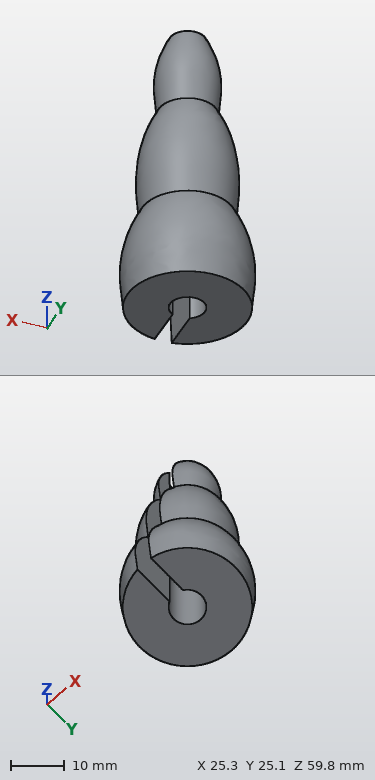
import math

import cadquery as cq

total_height = 59.82
bore_diameter = 7.0
slot_width = 3.4
foot_angle = 5.0
top_angle = 30.0

lower_joint_z = 20.1
upper_joint_z = 43.15

base_radius = 12.0
lower_joint_radius = 9.12
upper_joint_radius = 5.8
bore_radius = bore_diameter / 2
tip_radius = bore_radius

lower_belly = (12.625, 7.4)
middle_belly = (9.63, 27.7)
upper_belly = (6.31, 49.7)

bulges = [
    (lower_belly, (lower_joint_radius, lower_joint_z)),
    (middle_belly, (upper_joint_radius, upper_joint_z)),
    (upper_belly, (tip_radius, total_height)),
]


def direction(angle):
    """Upward (radius, height) direction leaning outward by angle degrees from vertical."""
    return (math.sin(math.radians(angle)), math.cos(math.radians(angle)))


def make_body():
    """Revolve the three stacked bulges around Z, with the bore open from end to end."""
    outline = cq.Workplane("XZ").moveTo(bore_radius, 0).lineTo(base_radius, 0)
    for belly, top in bulges:
        outline = outline.spline(
            [belly, top],
            tangents=[direction(foot_angle), direction(-top_angle)],
            includeCurrent=True,
        )
    return outline.close().revolve(360, (0, 0, 0), (0, 1, 0))


def make_slot():
    """Full-height opening from the bore axis out through the -Y side."""
    slot_reach = 2 * base_radius
    return (
        cq.Workplane("XY")
        .center(0, -slot_reach / 2)
        .rect(slot_width, slot_reach)
        .extrude(total_height)
    )


result = make_body().cut(make_slot())